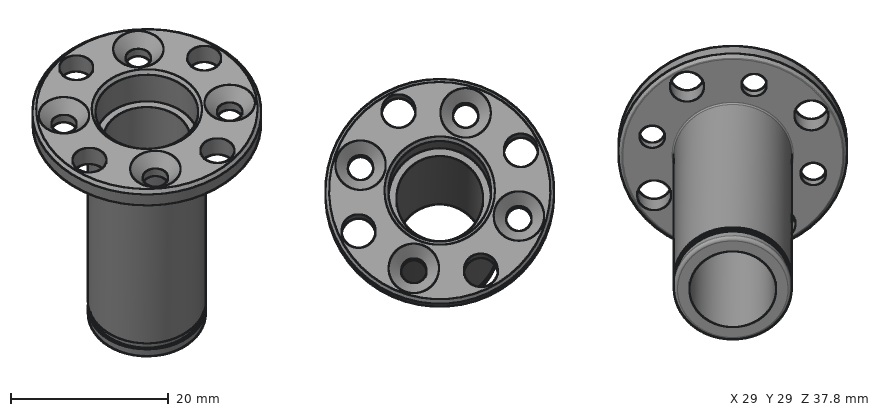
import cadquery as cq

total_height = 37.75
flange_diameter = 29.0
flange_thickness = 3.0
flange_chamfer = 0.5
tube_diameter = 15.0

neck_fillet = 0.2
groove_diameter = 14.4
groove_bottom = 1.6
groove_width = 1.1
foot_fillet = 0.5

bore_diameter = 11.0
seat_diameter = 13.0
seat_depth = 5.35
seat_chamfer = 0.5

plain_hole_diameter = 4.3
plain_hole_radius = 11.5
screw_hole_diameter = 3.2
screw_head_diameter = 6.38
screw_head_angle = 90
screw_hole_spacing = 14.9

flange_bottom = total_height - flange_thickness


def cylinder(diameter, bottom, height):
    return cq.Workplane("XY").workplane(offset=bottom).circle(diameter / 2).extrude(height)


def make_body():
    flange = cylinder(flange_diameter, flange_bottom, flange_thickness).edges().chamfer(flange_chamfer)
    tube = cylinder(tube_diameter, 0, flange_bottom).faces("<Z").edges().fillet(foot_fillet)
    neck = cq.selectors.BoxSelector(
        (-tube_diameter, -tube_diameter, flange_bottom - neck_fillet),
        (tube_diameter, tube_diameter, flange_bottom + neck_fillet),
    )
    return flange.union(tube).edges(neck).fillet(neck_fillet)


def make_groove():
    ring = cylinder(flange_diameter, groove_bottom, groove_width)
    return ring.cut(cylinder(groove_diameter, groove_bottom, groove_width))


def make_bore():
    seat = cylinder(seat_diameter, total_height - seat_depth, seat_depth)
    mouth_diameter = seat_diameter + 2 * seat_chamfer
    mouth = cq.Workplane(cq.Solid.makeCone(
        seat_diameter / 2,
        mouth_diameter / 2,
        seat_chamfer,
        pnt=cq.Vector(0, 0, total_height - seat_chamfer),
    ))
    return cylinder(bore_diameter, 0, total_height).union(seat).union(mouth)


body = make_body().cut(make_groove()).cut(make_bore())

result = (
    body.faces(">Z").workplane(origin=(0, 0, total_height))
    .polarArray(plain_hole_radius, 0, 360, 4)
    .hole(plain_hole_diameter, flange_thickness)
    .faces(">Z").workplane(origin=(0, 0, total_height))
    .rect(screw_hole_spacing, screw_hole_spacing, forConstruction=True).vertices()
    .cskHole(screw_hole_diameter, screw_head_diameter, screw_head_angle, flange_thickness)
)